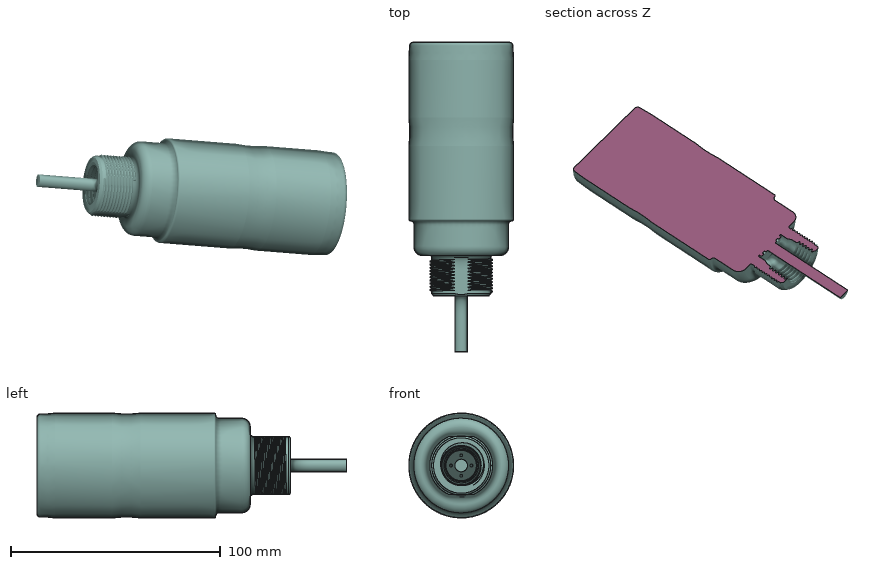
import cadquery as cq
import math


total_length = 147.6
cable_length = 26.7
neck_length = 19.2
collar_length = 14.9
rear_cap_length = 8.7
waist_start = 36.0
waist_length = 13.6

neck_end = total_length - cable_length
neck_start = neck_end - neck_length
collar_start = neck_start - collar_length

body_radius = 25.02
rear_radius = 24.6
rear_round = 1.8
waist_depth = 0.5
collar_radius = 22.6
collar_round = 4.1
shoulder_round = 0.9
shoulder_cove = body_radius - collar_radius - shoulder_round
shoulder_start = collar_start - shoulder_round - shoulder_cove

neck_radius = 14.1
neck_root_fillet = 0.9
neck_tip_bevel = 0.9
neck_tip_bevel_length = 1.0
flat_distance = 13.7
outer_thread_pitch = 1.5
outer_thread_radius = 14.98
outer_thread_turns = 10
outer_thread_start = neck_start + 2.0
outer_thread_base = 0.9 * outer_thread_pitch
outer_thread_crest = 0.19
outer_thread_overlap = 0.07

socket_mouth_radius = 9.6
socket_thread_length = 13.3
thread_taper = math.atan(1 / 32)
socket_step_radius = socket_mouth_radius - socket_thread_length * math.tan(thread_taper)
socket_thread_pitch = 1.82
socket_thread_depth = 1.45
socket_thread_turns = 6.5
socket_thread_overrun = 0.6 * socket_thread_pitch
socket_thread_angle = 90
socket_thread_mouth = 0.9 * socket_thread_pitch
socket_thread_root = 0.19
socket_thread_overlap = 0.22
socket_runout_length = 1.8
bore_radius = 8.3

insert_radius = 7.7
insert_height = 1.2
insert_bevel = 0.5
contact_radius = 0.66
contact_circle_radius = 4.9
contact_count = 4
contact_depth = 0.9
cable_radius = 3.0


def on_axis(z):
    return cq.Workplane("XY").workplane(offset=z)


def arc_offset(radius):
    """Distance along each axis from an arc's corner box edge to its 45 degree point."""
    return radius * (1 - math.sqrt(0.5))


def make_housing():
    """Body, collar and neck as one turned profile of (radius, height) points."""
    shoulder_mid = shoulder_start + shoulder_round
    shoulder_mid_radius = body_radius - shoulder_round
    rear_nick = arc_offset(rear_round)
    convex_nick = arc_offset(shoulder_round)
    cove_nick = arc_offset(shoulder_cove)
    collar_nick = arc_offset(collar_round)
    root_nick = arc_offset(neck_root_fillet)
    return (
        cq.Workplane("XZ")
        .lineTo(rear_radius - rear_round, 0)
        .threePointArc((rear_radius - rear_nick, rear_nick), (rear_radius, rear_round))
        .lineTo(body_radius, rear_cap_length)
        .lineTo(body_radius, waist_start)
        .threePointArc(
            (body_radius - waist_depth, waist_start + waist_length / 2),
            (body_radius, waist_start + waist_length),
        )
        .lineTo(body_radius, shoulder_start)
        .threePointArc(
            (body_radius - convex_nick, shoulder_mid - convex_nick),
            (shoulder_mid_radius, shoulder_mid),
        )
        .threePointArc(
            (collar_radius + cove_nick, shoulder_mid + cove_nick),
            (collar_radius, collar_start),
        )
        .lineTo(collar_radius, neck_start - collar_round)
        .threePointArc(
            (collar_radius - collar_nick, neck_start - collar_nick),
            (collar_radius - collar_round, neck_start),
        )
        .lineTo(neck_radius + neck_root_fillet, neck_start)
        .threePointArc(
            (neck_radius + root_nick, neck_start + root_nick),
            (neck_radius, neck_start + neck_root_fillet),
        )
        .lineTo(neck_radius, neck_end - neck_tip_bevel_length)
        .lineTo(neck_radius - neck_tip_bevel, neck_end)
        .lineTo(0, neck_end)
        .close()
        .revolve(360, (0, 0), (0, 1))
    )


def make_thread(base_radius, tip_radius, base_width, tip_width, pitch, turns, taper=0.0):
    """Helical ridge starting at Z = 0; its profile runs from the base to the tip radius."""
    cone_angle = {"angle": math.degrees(taper)} if taper else {}
    helix = cq.Wire.makeHelix(pitch, pitch * turns, base_radius, **cone_angle)
    profile = (
        cq.Workplane("XZ")
        .moveTo(base_radius, -base_width / 2)
        .lineTo(tip_radius, -tip_width / 2)
        .lineTo(tip_radius, tip_width / 2)
        .lineTo(base_radius, base_width / 2)
        .close()
    )
    return profile.sweep(cq.Workplane(helix), isFrenet=True)


def make_outer_thread():
    ridge = make_thread(
        neck_radius - outer_thread_overlap,
        outer_thread_radius,
        outer_thread_base,
        outer_thread_crest,
        outer_thread_pitch,
        outer_thread_turns,
    )
    return ridge.translate((0, 0, outer_thread_start))


def make_flat_cutters():
    """Blocks that shave the two opposite flats on the threaded neck."""
    flat_start = neck_start + neck_root_fillet
    cutter_depth = 3.0
    cutters = on_axis(flat_start)
    cutters = cutters.pushPoints(
        [(0, side * (flat_distance + cutter_depth / 2)) for side in (1, -1)]
    )
    return cutters.rect(2 * outer_thread_radius, cutter_depth).extrude(neck_length)


def make_socket():
    """Plain bore, conical runout and tapered thread section."""
    thread_bottom = neck_end - socket_thread_length
    return (
        cq.Workplane("XZ")
        .moveTo(0, neck_start)
        .lineTo(bore_radius, neck_start)
        .lineTo(bore_radius, thread_bottom - socket_runout_length)
        .lineTo(socket_step_radius, thread_bottom)
        .lineTo(socket_mouth_radius, neck_end)
        .lineTo(0, neck_end)
        .close()
        .revolve(360, (0, 0), (0, 1))
    )


def make_socket_groove():
    """Helical groove that follows the socket taper and runs out through the mouth."""
    groove_length = socket_thread_turns * socket_thread_pitch
    groove_start = neck_end + socket_thread_overrun - groove_length
    wall_radius = socket_mouth_radius - (neck_end - groove_start) * math.tan(thread_taper)
    groove = make_thread(
        wall_radius - socket_thread_overlap,
        wall_radius + socket_thread_depth,
        socket_thread_mouth,
        socket_thread_root,
        socket_thread_pitch,
        socket_thread_turns,
        thread_taper,
    )
    groove = groove.rotate((0, 0, 0), (0, 0, 1), socket_thread_angle)
    return groove.translate((0, 0, groove_start))


def make_insert():
    """Bevelled disc with a ring of blind contact holes."""
    disc = on_axis(neck_start).circle(insert_radius).extrude(insert_height)
    disc = disc.faces(">Z").chamfer(insert_bevel)
    contacts = (
        on_axis(neck_start + insert_height)
        .polarArray(contact_circle_radius, 0, 360, contact_count)
        .circle(contact_radius)
        .extrude(-contact_depth)
    )
    return disc.cut(contacts)


def make_cable():
    return on_axis(neck_start).circle(cable_radius).extrude(total_length - neck_start)


turned = make_housing().cut(make_socket()).cut(make_socket_groove())
turned = turned.union(make_outer_thread()).cut(make_flat_cutters())
turned = turned.union(make_insert()).union(make_cable())

result = turned.rotate((0, 0, 0), (1, 0, 0), 90).translate((0, total_length / 2, 0))